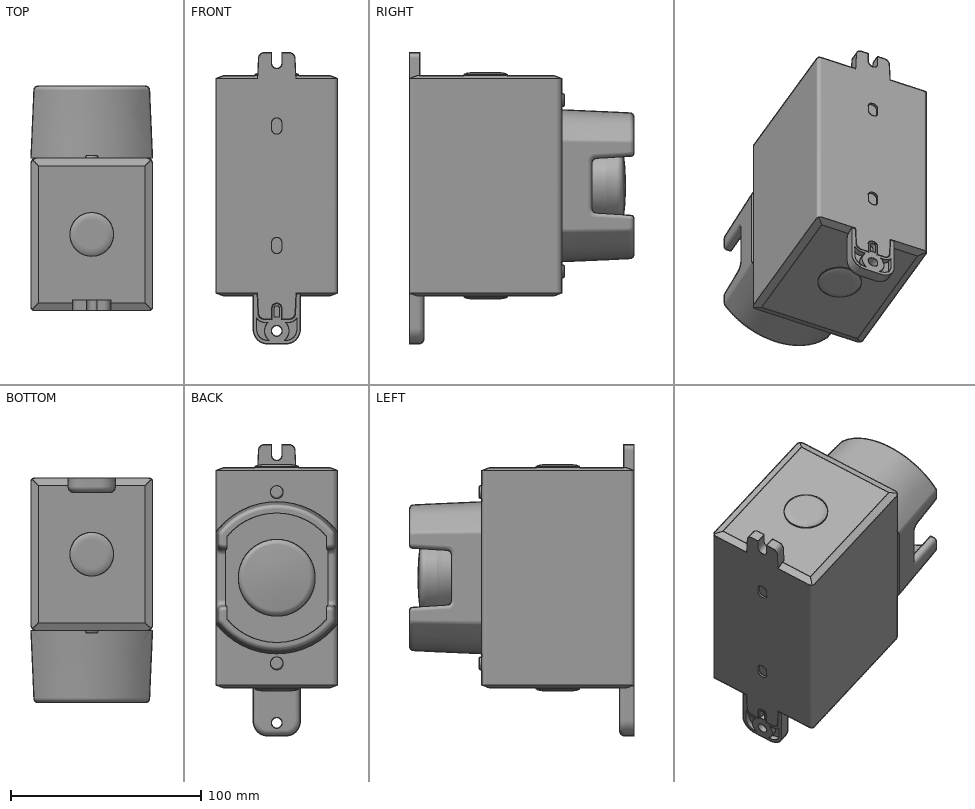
import cadquery as cq
import math


BOX_WIDTH = 64.0
BOX_DEPTH = 80.0
BOX_HEIGHT = 115.7
BEVEL_RISE = 1.5
BEVEL_RUN = 4.0
REAR_CORNER_RADIUS = 2.0
FRONT_CORNER_RADIUS = 2.9
BACK_SLOT_WIDTH = 5.5
BACK_SLOT_LENGTH = 8.5
BACK_SLOT_DEPTH = 1.2
BACK_SLOT_OFFSET = 31.4

PLUG_RADIUS = 11.5
PLUG_FLAT_RADIUS = 8.0
PLUG_RIM = 0.6
PLUG_HEIGHT = 1.5
PLUG_BULGE = 0.75

EAR_END = 69.9
EAR_THICKNESS = 5.5
EAR_ROOT_WIDTH = 20.2
EAR_TIP_WIDTH = 19.0
EAR_CORNER_RADIUS = 3.0
EAR_SLOT_WIDTH = 5.4
EAR_SLOT_DEPTH = 8.3
EAR_ROOT_OVERLAP = 4.0
EAR_ROOT = BOX_HEIGHT / 2 - BEVEL_RISE

OVERALL_HEIGHT = 153.0
TAB_END = OVERALL_HEIGHT - EAR_END
TAB_WIDTH = 24.8
TAB_THICKNESS = 7.6
TAB_CORNER_RADIUS = 7.6
TAB_EDGE_RADIUS = 2.9
TAB_HOLE_DIAMETER = 5.5
HOLE_TO_TAB_END = 6.9
TAB_HOLE_Z = HOLE_TO_TAB_END - TAB_END
GROOVE_WIDTH = 0.23
SHOULDER_GAP = 0.5
TONGUE_POCKET_WIDTH = 2.8
TONGUE_POCKET_RADIUS = 1.2
TONGUE_POCKET_TOP = 1.4
TONGUE_POCKET_LENGTH = 6.0
POCKET_DEPTH = 2.8
POCKET_WALL = 1.8
HOLE_BOSS_RADIUS = 6.5

GUARD_RADIUS = 40.0
GUARD_WIDTH = BOX_WIDTH
GUARD_LENGTH = 38.0
GUARD_DRAFT = 2.5
GUARD_WALL = 4.3
GUARD_CORNER_RADIUS = 3.0
GUARD_EDGE_RADIUS = 2.3
NOTCH_TIP_WIDTH = 31.2
NOTCH_FLOOR_WIDTH = 28.5
NOTCH_DEPTH = 22.0
NOTCH_CORNER_RADIUS = 2.5
NOTCH_MOUTH_RADIUS = 1.8

SELECT_MARGIN = 0.8

BUTTON_RADIUS = 20.2
BUTTON_TOP = 113.5
BUTTON_DOME_RADIUS = 133.1
BUTTON_RIM_TOP = 109.2
BUTTON_RIM_BASE = 103.5
BUTTON_RIM_TAPER = 0.5
BUTTON_NECK_TOP = 101.0
BUTTON_NECK_RADIUS = 16.8
BUTTON_EDGE_RADIUS = 3.0

SCREW_HEAD_RADIUS = 3.4
SCREW_HEAD_HEIGHT = 1.4
SCREW_HEAD_ROUNDING = 0.9
SCREW_OFFSET = 45.0


def back_plane(y=0.0):
    """Sketch plane facing +Y: local x is -X, local y is +Z."""
    return cq.Workplane("XZ", origin=(0, y, 0)).transformed(rotate=(0, 180, 0))


def rounded_prism(radius, side):
    """Box envelope with the two upright edges on one side rounded."""
    prism = cq.Workplane("XY").center(0, BOX_DEPTH / 2).box(BOX_WIDTH, BOX_DEPTH, BOX_HEIGHT)
    return prism.faces(side).edges("|Z").fillet(radius)


def make_box():
    """Box with bevelled ends and rounded upright edges."""
    core_height = BOX_HEIGHT - 2 * BEVEL_RISE
    bevel_angle = math.degrees(math.atan2(BEVEL_RUN, BEVEL_RISE))
    middle = BOX_DEPTH / 2
    box = cq.Workplane("XY").center(0, middle).box(BOX_WIDTH, BOX_DEPTH, core_height)
    cap = (
        cq.Workplane("XY", origin=(0, middle, core_height / 2))
        .rect(BOX_WIDTH, BOX_DEPTH)
        .extrude(BEVEL_RISE, taper=bevel_angle)
    )
    rear = rounded_prism(REAR_CORNER_RADIUS, "<Y")
    front = rounded_prism(FRONT_CORNER_RADIUS, ">Y")
    return box.union(cap).union(cap.mirror("XY")).intersect(rear).intersect(front)


def make_back_slots():
    """Two shallow slots to be cut into the mounting face."""
    return (
        back_plane()
        .pushPoints([(0, BACK_SLOT_OFFSET), (0, -BACK_SLOT_OFFSET)])
        .slot2D(BACK_SLOT_LENGTH, BACK_SLOT_WIDTH, 90)
        .extrude(BACK_SLOT_DEPTH)
    )


def make_plug():
    """Shallow domed plug on the upper end of the box."""
    mid_radius = (PLUG_RADIUS + PLUG_FLAT_RADIUS) / 2
    mid_height = PLUG_RIM + PLUG_BULGE * (PLUG_HEIGHT - PLUG_RIM)
    return (
        cq.Workplane("XZ")
        .lineTo(PLUG_RADIUS, 0)
        .lineTo(PLUG_RADIUS, PLUG_RIM)
        .threePointArc((mid_radius, mid_height), (PLUG_FLAT_RADIUS, PLUG_HEIGHT))
        .lineTo(0, PLUG_HEIGHT)
        .close()
        .revolve(360, (0, 0, 0), (0, 1, 0))
        .translate((0, BOX_DEPTH / 2, BOX_HEIGHT / 2))
    )


def make_ear(depth, clearance=0.0):
    """Slotted upper ear; clearance grows its outline and narrows its slot."""
    root = EAR_ROOT_WIDTH / 2 + clearance
    tip = EAR_TIP_WIDTH / 2 + clearance
    end = EAR_END + clearance
    slot_width = EAR_SLOT_WIDTH - 2 * clearance
    slot_centre = EAR_END - EAR_SLOT_DEPTH + EAR_SLOT_WIDTH / 2
    slot_length = 2 * EAR_SLOT_DEPTH
    plate = (
        back_plane()
        .polyline([(-root, EAR_ROOT), (-tip, end), (tip, end), (root, EAR_ROOT)])
        .close()
        .extrude(depth)
        .edges("|Y and >Z")
        .fillet(EAR_CORNER_RADIUS + clearance)
    )
    slot = (
        back_plane()
        .center(0, slot_centre + (slot_length - slot_width) / 2)
        .slot2D(slot_length, slot_width, 90)
        .extrude(depth)
    )
    root_block = (
        cq.Workplane("XY")
        .box(2 * root, depth, EAR_ROOT_OVERLAP, centered=(True, False, False))
        .translate((0, 0, EAR_ROOT - EAR_ROOT_OVERLAP))
    )
    return plate.cut(slot).union(root_block)


def tab_outline(inset, depth):
    """Tab blank with rounded lower corners, shrunk by inset on its sides and end."""
    half = TAB_WIDTH / 2 - inset
    height = TAB_END - EAR_ROOT - inset
    return (
        cq.Workplane("XY")
        .box(2 * half, depth, height, centered=(True, False, False))
        .translate((0, 0, inset - TAB_END))
        .edges("|Y and <Z")
        .fillet(TAB_CORNER_RADIUS - inset)
    )


def make_tab():
    """Adapter tab with the lower ear's groove, hole, side pockets and tongue pocket."""
    tab = tab_outline(0, TAB_THICKNESS)
    tab = tab.faces(">Y").edges("not >Z").fillet(TAB_EDGE_RADIUS)

    ear = make_ear(EAR_THICKNESS).mirror("XY")
    groove = make_ear(EAR_THICKNESS, GROOVE_WIDTH).mirror("XY").cut(ear)

    shoulder_gap = (
        cq.Workplane("XY")
        .box(TAB_WIDTH, EAR_THICKNESS, SHOULDER_GAP, centered=(True, False, False))
        .translate((0, 0, -EAR_ROOT - SHOULDER_GAP))
        .cut(ear)
    )

    hole = back_plane().center(0, TAB_HOLE_Z).circle(TAB_HOLE_DIAMETER / 2).extrude(TAB_THICKNESS)

    boss = back_plane().center(0, TAB_HOLE_Z).circle(HOLE_BOSS_RADIUS).extrude(POCKET_DEPTH)
    ear_margin = (
        cq.Workplane("XY")
        .box(EAR_TIP_WIDTH + 2 * POCKET_WALL, POCKET_DEPTH, EAR_END, centered=(True, False, False))
        .edges("|Y and <Z")
        .fillet(EAR_CORNER_RADIUS + POCKET_WALL)
        .translate((0, 0, -EAR_END - POCKET_WALL))
    )
    side_pockets = tab_outline(POCKET_WALL, POCKET_DEPTH).cut(boss).cut(ear_margin)

    pocket_top = EAR_SLOT_DEPTH - EAR_END - TONGUE_POCKET_TOP
    tongue_pocket = (
        back_plane()
        .center(0, pocket_top - TONGUE_POCKET_LENGTH / 2)
        .rect(TONGUE_POCKET_WIDTH, TONGUE_POCKET_LENGTH)
        .extrude(POCKET_DEPTH)
        .edges("|Y and >Z")
        .fillet(TONGUE_POCKET_RADIUS)
    )
    return tab.cut(groove).cut(shoulder_gap).cut(hole).cut(side_pockets).cut(tongue_pocket)


def guard_blank(inset):
    """Drafted round post with two flat sides, standing on the front of the box."""
    radius = GUARD_RADIUS - inset
    half = GUARD_WIDTH / 2 - inset
    flat_end = math.sqrt(radius**2 - half**2)
    return (
        back_plane(BOX_DEPTH)
        .moveTo(half, -flat_end)
        .lineTo(half, flat_end)
        .threePointArc((0, radius), (-half, flat_end))
        .lineTo(-half, -flat_end)
        .threePointArc((0, -radius), (half, -flat_end))
        .close()
        .extrude(GUARD_LENGTH, taper=GUARD_DRAFT)
    )


def span(x_range, y_range, z_half):
    """Selector for edges whose middle lies in the given X and Y ranges and within z_half of Z = 0."""
    return cq.selectors.BoxSelector(
        (x_range[0], y_range[0], -z_half), (x_range[1], y_range[1], z_half)
    )


def make_guard():
    """Hollow guard, notched on both flat sides so the button can be seen and reached."""
    tip = BOX_DEPTH + GUARD_LENGTH
    floor = tip - NOTCH_DEPTH
    outside = GUARD_WIDTH / 2
    side_walls = outside - GUARD_WALL
    full = (-outside, outside)

    upright_edges = span(full, (BOX_DEPTH + SELECT_MARGIN, tip - SELECT_MARGIN), GUARD_RADIUS)
    guard = guard_blank(0).edges(upright_edges).fillet(GUARD_CORNER_RADIUS)

    tip_half = NOTCH_TIP_WIDTH / 2
    floor_half = NOTCH_FLOOR_WIDTH / 2
    notch = (
        cq.Workplane("YZ", origin=(-outside, 0, 0))
        .polyline([(tip, tip_half), (floor, floor_half), (floor, -floor_half), (tip, -tip_half)])
        .close()
        .extrude(GUARD_WIDTH)
        .edges("|X and <Y")
        .fillet(NOTCH_CORNER_RADIUS)
    )
    across = cq.selectors.ParallelDirSelector(cq.Vector(1, 0, 0))
    rim_edges = span(full, (tip - SELECT_MARGIN, tip + SELECT_MARGIN), GUARD_RADIUS)
    guard = guard.cut(notch).edges(rim_edges & across).fillet(NOTCH_MOUTH_RADIUS)

    notch_range = (floor - SELECT_MARGIN, tip)
    mouth_half = tip_half + NOTCH_MOUTH_RADIUS
    left_edges = span((-outside, -side_walls), notch_range, mouth_half)
    right_edges = span((side_walls, outside), notch_range, mouth_half)
    rounded_edges = left_edges + right_edges + rim_edges - across
    return guard.edges(rounded_edges).fillet(GUARD_EDGE_RADIUS).cut(guard_blank(GUARD_WALL))


def make_button():
    """Domed mushroom button, revolved about the guard axis."""
    crown_end = BUTTON_RADIUS - BUTTON_EDGE_RADIUS
    sagitta = BUTTON_DOME_RADIUS - math.sqrt(BUTTON_DOME_RADIUS**2 - crown_end**2)
    crown_height = BUTTON_TOP - sagitta
    bulge = 1 - math.sqrt(0.5)
    crown_middle = (
        BUTTON_RADIUS - bulge * BUTTON_EDGE_RADIUS,
        crown_height - bulge * (crown_height - BUTTON_RIM_TOP),
    )
    return (
        cq.Workplane("XY")
        .moveTo(0, BOX_DEPTH)
        .lineTo(BUTTON_NECK_RADIUS, BOX_DEPTH)
        .lineTo(BUTTON_RADIUS - BUTTON_RIM_TAPER, BUTTON_NECK_TOP)
        .lineTo(BUTTON_RADIUS, BUTTON_RIM_BASE)
        .lineTo(BUTTON_RADIUS, BUTTON_RIM_TOP)
        .threePointArc(crown_middle, (crown_end, crown_height))
        .radiusArc((0, BUTTON_TOP), -BUTTON_DOME_RADIUS)
        .close()
        .revolve(360, (0, 0, 0), (0, 1, 0))
    )


def make_screw_heads():
    """Rounded screw heads above and below the guard."""
    return (
        back_plane(BOX_DEPTH)
        .pushPoints([(0, SCREW_OFFSET), (0, -SCREW_OFFSET)])
        .circle(SCREW_HEAD_RADIUS)
        .extrude(SCREW_HEAD_HEIGHT)
        .faces(">Y")
        .edges()
        .fillet(SCREW_HEAD_ROUNDING)
    )


upper_ear = make_ear(EAR_THICKNESS)
plug = make_plug()

result = (
    make_box()
    .union(plug)
    .union(plug.mirror("XY"))
    .union(make_guard())
    .union(make_button())
    .union(make_screw_heads())
    .union(make_tab())
    .union(upper_ear)
    .union(upper_ear.mirror("XY"))
    .cut(make_back_slots())
)